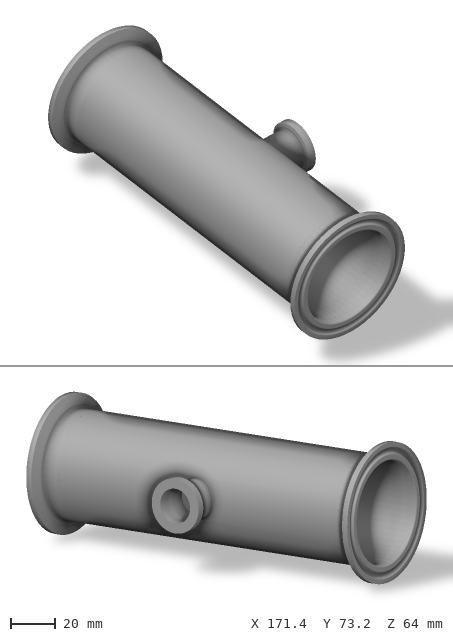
import cadquery as cq
import math

overall_length = 171.4
overall_depth = 73.2

run_radius = 25.4
run_bore_radius = 23.8
wall = run_radius - run_bore_radius
branch_diameter = 19.0
branch_radius = branch_diameter / 2
branch_bore_radius = branch_radius - wall
junction_fillet = 0.7

run_ferrule_length = 12.7
run_flange_diameter = 64.0
run_flange_radius = run_flange_diameter / 2
run_rim = 2.7
run_cone_end = 4.8
run_cone_foot_radius = 27.0
run_neck_start = 6.3
mouth_fillet = 0.7

groove_center_radius = 28.1
groove_half_width = 1.4
groove_depth = 1.4
groove_lip_fillet = 0.5

branch_ferrule_length = 12.3
branch_flange_radius = 12.5
branch_rim = 3.8
branch_cone_end = 4.3
branch_cone_foot_radius = 10.5
branch_neck_start = 5.1

run_tube_length = overall_length - 2 * run_ferrule_length
branch_face_y = overall_depth - run_flange_radius
branch_seam_y = branch_face_y - branch_ferrule_length


def ferrule_blank(length, flange_radius, rim, cone_end, foot_radius, neck_start, neck_radius, bore_radius):
    """Clamp ferrule turned about X, with its sealing face at X = 0 and its neck toward +X."""
    diagonal = math.sqrt(0.5)
    blend_x = neck_start - (neck_start - cone_end) * diagonal
    blend_radius = foot_radius - (foot_radius - neck_radius) * diagonal
    return (
        cq.Workplane("XY")
        .moveTo(0, bore_radius)
        .lineTo(0, flange_radius)
        .lineTo(rim, flange_radius)
        .lineTo(cone_end, foot_radius)
        .threePointArc((blend_x, blend_radius), (neck_start, neck_radius))
        .lineTo(length, neck_radius)
        .lineTo(length, bore_radius)
        .close()
        .revolve(360, (0, 0, 0), (1, 0, 0))
    )


def gasket_groove():
    """Ring with a rounded bottom, removed from the sealing face at X = 0."""
    return (
        cq.Workplane("XY")
        .moveTo(0, groove_center_radius - groove_half_width)
        .threePointArc((groove_depth, groove_center_radius), (0, groove_center_radius + groove_half_width))
        .close()
        .revolve(360, (0, 0, 0), (1, 0, 0))
    )


def is_groove_lip(edge):
    """True for the two circles where the groove meets the sealing face."""
    return math.isclose(abs(edge.radius() - groove_center_radius), groove_half_width, abs_tol=0.02)


def make_run_ferrule():
    """Run ferrule with a gasket groove, rounded groove lips and a rounded bore mouth."""
    blank = ferrule_blank(
        run_ferrule_length, run_flange_radius, run_rim, run_cone_end,
        run_cone_foot_radius, run_neck_start, run_radius, run_bore_radius,
    )
    grooved = blank.cut(gasket_groove())
    face_edges = grooved.faces("<X").edges()
    mouth = face_edges.filter(lambda edge: edge.radius() < run_radius)
    rounded = mouth.fillet(mouth_fillet)
    lips = rounded.faces("<X").edges().filter(is_groove_lip)
    return lips.fillet(groove_lip_fillet)


def make_branch_ferrule():
    """Small ferrule whose sealing face looks toward +Y."""
    blank = ferrule_blank(
        branch_ferrule_length, branch_flange_radius, branch_rim, branch_cone_end,
        branch_cone_foot_radius, branch_neck_start, branch_radius, branch_bore_radius,
    )
    return blank.rotate((0, 0, 0), (0, 0, 1), -90).translate((0, branch_face_y, 0))


def make_tee():
    """Run tube with a short branch stub, bored through both."""
    run = cq.Workplane("YZ").circle(run_radius).extrude(run_tube_length / 2, both=True)
    stub = cq.Workplane("XZ").circle(branch_radius).extrude(-branch_seam_y)
    solid_tee = run.union(stub)
    reach = branch_radius + junction_fillet
    junction = cq.selectors.BoxSelector(
        (-reach, 0, -reach), (reach, run_radius + junction_fillet, reach), boundingbox=True
    )
    tee = solid_tee.edges(junction).fillet(junction_fillet)
    run_bore = cq.Workplane("YZ").circle(run_bore_radius).extrude(run_tube_length / 2, both=True)
    branch_bore = cq.Workplane("XZ").circle(branch_bore_radius).extrude(-branch_seam_y)
    return tee.cut(run_bore).cut(branch_bore)


tee = make_tee()
branch_ferrule = make_branch_ferrule()

run_ferrules = []
for turn in (0, 180):
    ferrule = make_run_ferrule().translate((-overall_length / 2, 0, 0))
    run_ferrules.append(ferrule.rotate((0, 0, 0), (0, 0, 1), turn).val())

result = cq.Compound.makeCompound([tee.val(), branch_ferrule.val(), *run_ferrules])